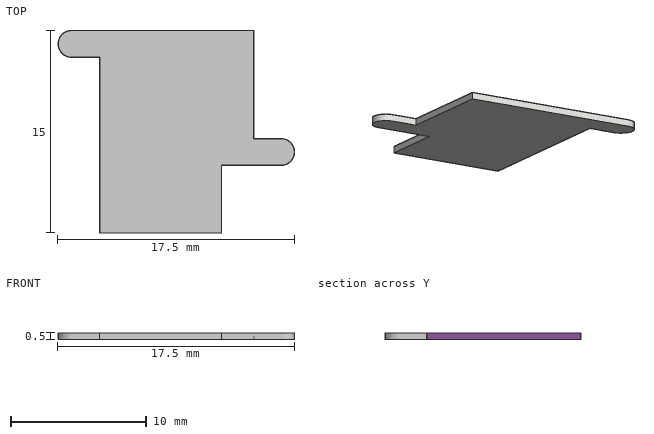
import cadquery as cq

length = 17.5
width = 15.0
thickness = 0.5

plate_left = 3.08
upper_right = 14.49
lower_right = 12.11

tab_width = 2.0
tab_radius = tab_width / 2
right_tab_drop = 8.0

left_tab_bottom = width - tab_width
right_tab_top = width - right_tab_drop
right_tab_bottom = right_tab_top - tab_width

outline = (
    cq.Workplane("XY")
    .moveTo(plate_left, 0)
    .lineTo(lower_right, 0)
    .lineTo(lower_right, right_tab_bottom)
    .lineTo(length - tab_radius, right_tab_bottom)
    .threePointArc(
        (length, right_tab_bottom + tab_radius),
        (length - tab_radius, right_tab_top),
    )
    .lineTo(upper_right, right_tab_top)
    .lineTo(upper_right, width)
    .lineTo(tab_radius, width)
    .threePointArc(
        (0, width - tab_radius),
        (tab_radius, left_tab_bottom),
    )
    .lineTo(plate_left, left_tab_bottom)
    .close()
)

result = outline.extrude(thickness)